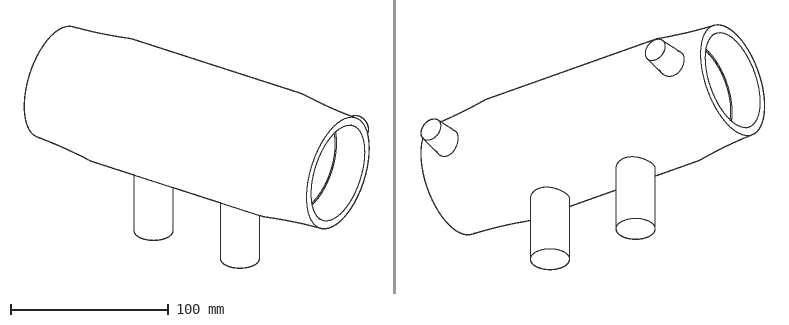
import cadquery as cq

length = 213.0
barrel_radius = 82.0 / 2
end_radius = 73.7 / 2
taper_length = 42.5
taper_hollow = 0.6
bore_radius = 59.9 / 2
socket_radius = 63.0 / 2
socket_depth = 21.3

post_radius = 25.0 / 2
post_spacing = 65.2
post_bottom = -85.8

nipple_inset = 21.0
nipple_tip_radius = 15.1 / 2
nipple_root_radius = 18.3 / 2
nipple_tip_y = 57.0
nipple_length = 21.0

post_root_z = -(bore_radius + barrel_radius) / 2
half_length = length / 2
half_barrel = half_length - taper_length


def make_sleeve():
    """Solid barrel with concave tapers at both ends."""
    middle_x = half_length - taper_length / 2
    middle_radius = (end_radius + barrel_radius) / 2 - taper_hollow
    return (
        cq.Workplane("XY")
        .moveTo(-half_length, 0)
        .lineTo(-half_length, end_radius)
        .threePointArc((-middle_x, middle_radius), (-half_barrel, barrel_radius))
        .lineTo(half_barrel, barrel_radius)
        .threePointArc((middle_x, middle_radius), (half_length, end_radius))
        .lineTo(half_length, 0)
        .close()
        .revolve(360, (0, 0, 0), (1, 0, 0))
    )


def make_post(x):
    """Round post running down from the sleeve wall."""
    return (
        cq.Workplane("XY", origin=(x, 0, post_bottom))
        .circle(post_radius)
        .extrude(post_root_z - post_bottom)
    )


def make_nipple(x):
    """Conical nipple, wider at the sleeve wall than at its tip."""
    return cq.Workplane(
        cq.Solid.makeCone(
            nipple_root_radius,
            nipple_tip_radius,
            nipple_length,
            pnt=cq.Vector(x, nipple_tip_y - nipple_length, 0),
            dir=cq.Vector(0, 1, 0),
        )
    )


def make_bore():
    """Through bore with a wider pipe socket at each end."""
    bore = cq.Workplane("YZ").circle(bore_radius).extrude(half_length, both=True)
    for start_x in (-half_length, half_length - socket_depth):
        socket = cq.Workplane("YZ", origin=(start_x, 0, 0)).circle(socket_radius).extrude(socket_depth)
        bore = bore.union(socket)
    return bore


body = make_sleeve()
for side in (-1, 1):
    body = body.union(make_post(side * post_spacing / 2))
    body = body.union(make_nipple(side * (half_length - nipple_inset)))

result = body.cut(make_bore())